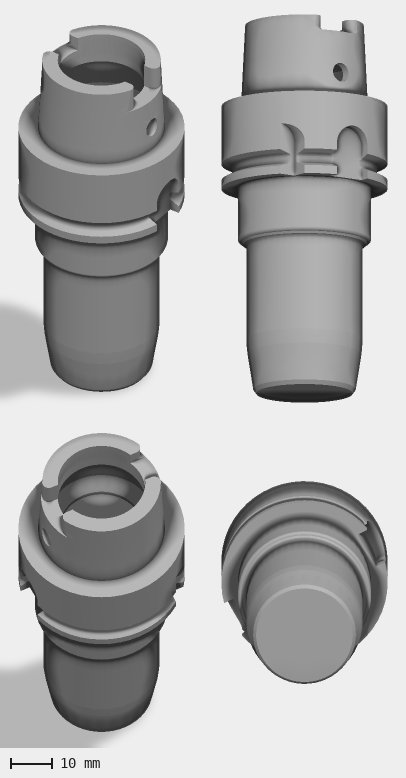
import cadquery as cq
import math

TOTAL_HEIGHT = 89.9
FLANGE_TOP = 70.1
FLANGE_BOTTOM = 50.0

FLANGE_RADIUS = 39.9 / 2
SPIGOT_RADIUS = 32.0 / 2
BODY_RADIUS = 28.0 / 2
SHANK_BASE_RADIUS = 30.5 / 2
SHANK_TOP_RADIUS = 28.5 / 2

GROOVE_ROOT_RADIUS = 17.4
GROOVE_TOP = 56.0
GROOVE_ROOT_TOP = 55.0
GROOVE_ROOT_BOTTOM = 53.1
GROOVE_BOTTOM = 52.0
GROOVE_ROOT_FILLET = 0.5

STEP_TOP = 37.7
STEP_BOTTOM = 35.5
STEP_ROUND = 0.8

NOSE_BLEND_TOP = 13.2
NOSE_BLEND_BOTTOM = 9.7
NOSE_ANGLE = math.radians(9)
NOSE_CHAMFER_HEIGHT = 1.0
NOSE_CHAMFER_WIDTH = 0.7

BORE_RADIUS = 21.0 / 2
RECESS_RADIUS = 25.5 / 2
BORE_FLOOR_RADIUS = 9.9
RECESS_START = 81.9
RECESS_BOTTOM = 74.1
RECESS_SHOULDER_ANGLE = math.radians(30)
BORE_FLOOR = FLANGE_TOP

CROSS_HOLE_DIAMETER = 4.6
CROSS_HOLE_HEIGHT = 76.15

NOTCH_WIDTH = 8.0
NOTCH_CORNER_RADIUS = 1.5
TAB_HALF_LENGTH = 12.95
CORNER_RELIEF_WIDTH = 16.2
LEFT_NOTCH_DEPTH = 3.6
RIGHT_NOTCH_DEPTH = 6.0
LEFT_FLOOR_FILLET = 1.1
TAB_BACK_RADIUS = 4.4
TAB_BACK_ANGLE = math.radians(33)

SLOT_WIDTH = 9.1
SLOT_TOP = 62.3
KEY_SLOT_FLOOR = 17.0
SIDE_SLOT_FLOOR = 12.0
SIDE_SLOT_OFFSET = 16.3

CLEARANCE = 0.9


def turned_body():
    """Revolve the outside profile, from the nose face up to the shank rim."""
    blend_height = NOSE_BLEND_TOP - NOSE_BLEND_BOTTOM
    blend_radius = blend_height / math.sin(NOSE_ANGLE)
    blend_centre = BODY_RADIUS - blend_radius
    half_angle = NOSE_ANGLE / 2
    blend_middle = (
        blend_centre + blend_radius * math.cos(half_angle),
        NOSE_BLEND_TOP - blend_radius * math.sin(half_angle),
    )
    blend_end_radius = blend_centre + blend_radius * math.cos(NOSE_ANGLE)
    cone_height = NOSE_BLEND_BOTTOM - NOSE_CHAMFER_HEIGHT
    nose_radius = blend_end_radius - cone_height * math.tan(NOSE_ANGLE)
    profile = (
        cq.Workplane("XZ")
        .lineTo(nose_radius - NOSE_CHAMFER_WIDTH, 0)
        .lineTo(nose_radius, NOSE_CHAMFER_HEIGHT)
        .lineTo(blend_end_radius, NOSE_BLEND_BOTTOM)
        .threePointArc(blend_middle, (BODY_RADIUS, NOSE_BLEND_TOP))
        .lineTo(BODY_RADIUS, STEP_BOTTOM)
        .radiusArc((BODY_RADIUS + STEP_ROUND, STEP_BOTTOM + STEP_ROUND), STEP_ROUND)
        .lineTo(SPIGOT_RADIUS - STEP_ROUND, STEP_TOP - STEP_ROUND)
        .radiusArc((SPIGOT_RADIUS, STEP_TOP), -STEP_ROUND)
        .lineTo(SPIGOT_RADIUS, FLANGE_BOTTOM)
        .lineTo(FLANGE_RADIUS, FLANGE_BOTTOM)
        .lineTo(FLANGE_RADIUS, GROOVE_BOTTOM)
        .lineTo(GROOVE_ROOT_RADIUS, GROOVE_ROOT_BOTTOM)
        .lineTo(GROOVE_ROOT_RADIUS, GROOVE_ROOT_TOP)
        .lineTo(FLANGE_RADIUS, GROOVE_TOP)
        .lineTo(FLANGE_RADIUS, FLANGE_TOP)
        .lineTo(SHANK_BASE_RADIUS, FLANGE_TOP)
        .lineTo(SHANK_TOP_RADIUS, TOTAL_HEIGHT)
        .lineTo(0, TOTAL_HEIGHT)
        .close()
    )
    solid = profile.revolve(360, (0, 0, 0), (0, 1, 0))
    root_edges = cq.selectors.BoxSelector(
        (-CLEARANCE, -CLEARANCE, GROOVE_ROOT_BOTTOM - GROOVE_ROOT_FILLET),
        (CLEARANCE, CLEARANCE, GROOVE_ROOT_TOP + GROOVE_ROOT_FILLET),
    )
    return solid.edges(root_edges).fillet(GROOVE_ROOT_FILLET)


def bore():
    """Blind bore: entry, sloping shoulder, wide recess and a cone down to the floor bore."""
    shoulder_height = (RECESS_RADIUS - BORE_RADIUS) * math.tan(RECESS_SHOULDER_ANGLE)
    lower_cone_height = RECESS_RADIUS - BORE_FLOOR_RADIUS
    profile = (
        cq.Workplane("XZ")
        .moveTo(0, BORE_FLOOR)
        .lineTo(BORE_FLOOR_RADIUS, BORE_FLOOR)
        .lineTo(BORE_FLOOR_RADIUS, RECESS_BOTTOM - lower_cone_height)
        .lineTo(RECESS_RADIUS, RECESS_BOTTOM)
        .lineTo(RECESS_RADIUS, RECESS_START - shoulder_height)
        .lineTo(BORE_RADIUS, RECESS_START)
        .lineTo(BORE_RADIUS, TOTAL_HEIGHT)
        .lineTo(0, TOTAL_HEIGHT)
        .close()
    )
    return profile.revolve(360, (0, 0, 0), (0, 1, 0))


def cross_hole():
    """Hole along X through both shank walls."""
    return (
        cq.Workplane("YZ")
        .center(0, CROSS_HOLE_HEIGHT)
        .circle(CROSS_HOLE_DIAMETER / 2)
        .extrude(FLANGE_RADIUS, both=True)
    )


def drive_notch(depth, tab_back_angle=0, floor_fillet=0):
    """Notch in the +X side of the rim, flaring round the corners of the tabs beside it.

    Past its rounded corner, each tab curves back toward the axis through tab_back_angle.
    """
    floor = TOTAL_HEIGHT - depth
    half_width = NOTCH_WIDTH / 2
    half_relief = CORNER_RELIEF_WIDTH / 2
    arc_start = TAB_HALF_LENGTH - NOTCH_CORNER_RADIUS
    arc_end = half_width + NOTCH_CORNER_RADIUS
    outer_end = FLANGE_RADIUS
    back_x = TAB_HALF_LENGTH - TAB_BACK_RADIUS * (1 - math.cos(tab_back_angle))
    back_y = arc_end + TAB_BACK_RADIUS * math.sin(tab_back_angle)
    flare = (
        cq.Workplane("XY", origin=(0, 0, floor))
        .moveTo(0, -half_width)
        .lineTo(arc_start, -half_width)
        .radiusArc((TAB_HALF_LENGTH, -arc_end), NOTCH_CORNER_RADIUS)
    )
    if tab_back_angle:
        flare = flare.radiusArc((back_x, -back_y), TAB_BACK_RADIUS)
    flare = (
        flare.lineTo(back_x, -half_relief)
        .lineTo(outer_end, -half_relief)
        .lineTo(outer_end, half_relief)
        .lineTo(back_x, half_relief)
        .lineTo(back_x, back_y)
    )
    if tab_back_angle:
        flare = flare.radiusArc((TAB_HALF_LENGTH, arc_end), TAB_BACK_RADIUS)
    flare = (
        flare.radiusArc((arc_start, half_width), NOTCH_CORNER_RADIUS)
        .lineTo(0, half_width)
        .close()
        .extrude(depth + CLEARANCE)
    )
    if floor_fillet:
        flare = flare.faces("<Z").edges().fillet(floor_fillet)
    channel = cq.Workplane("XY", origin=(0, 0, floor)).box(
        outer_end, NOTCH_WIDTH, depth + CLEARANCE, centered=(False, True, False)
    )
    return flare.union(channel)


def flange_slot(floor, offset):
    """Round-topped slot in the -X side, open at the flange bottom, with a flat floor."""
    radius = SLOT_WIDTH / 2
    centre_height = SLOT_TOP - radius
    return (
        cq.Workplane("YZ", origin=(-floor, 0, 0))
        .moveTo(offset - radius, FLANGE_BOTTOM)
        .lineTo(offset - radius, centre_height)
        .threePointArc((offset, SLOT_TOP), (offset + radius, centre_height))
        .lineTo(offset + radius, FLANGE_BOTTOM)
        .close()
        .extrude(-FLANGE_RADIUS)
    )


def half_turn(cutter):
    """Carry a cutter to the opposite side of the Z axis."""
    return cutter.rotate((0, 0, 0), (0, 0, 1), 180)


key_slot = flange_slot(KEY_SLOT_FLOOR, 0)

result = (
    turned_body()
    .cut(bore())
    .cut(cross_hole())
    .cut(drive_notch(RIGHT_NOTCH_DEPTH, tab_back_angle=TAB_BACK_ANGLE))
    .cut(half_turn(drive_notch(LEFT_NOTCH_DEPTH, floor_fillet=LEFT_FLOOR_FILLET)))
    .cut(key_slot)
    .cut(half_turn(key_slot))
    .cut(flange_slot(SIDE_SLOT_FLOOR, SIDE_SLOT_OFFSET))
)